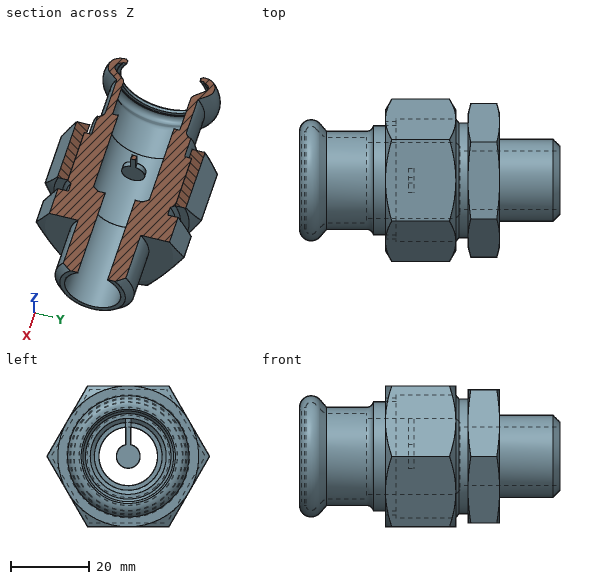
import cadquery as cq
import math


nut_start = 21.95
nut_end = 39.9
hex_start = 43.0
hex_end = 51.1
total_length = 66.5

wall = 1.65
tube_radius = 12.6
tube_bore_radius = tube_radius - wall
bead_radius = 3.0
bead_centre_radius = 12.5
lip_radius = 11.6
lip_chamfer = 0.45
lip_end = 1.3
bead_foot = 6.9
socket_blend_radius = 2.1
flare_start = 17.15
shoulder_start = 18.9
shoulder_radius = 13.95

nut_flats = 36.0
nut_chamfer_angle = 30
nut_rim_length = 2.65
nut_rim_radius = 14.95
flange_start = nut_start + nut_rim_length
flange_radius = 15.7

hex_flats = 34.05
hex_chamfer_angle = 15

neck_radius = 14.7
neck_cone_length = 0.8
spigot_radius = 10.5
spigot_chamfer = 1.8
spigot_bore_radius = 7.45

stop_radius = 9.7
throat_radius = 8.65
throat_length = stop_radius - throat_radius

disc_radius = 3.05
arm_width = 1.4
disc_thickness = arm_width
wall_overlap = 0.3

diagonal = math.sqrt(0.5)
mid_arc_angle = math.pi / 8


def revolve_about_x(profile):
    """Turn a closed (x, radius) profile about the X axis."""
    return profile.close().revolve(360, (0, 0, 0), (1, 0, 0))


def cylinder_along_x(start, end, radius):
    return cq.Workplane("YZ", origin=(start, 0, 0)).circle(radius).extrude(end - start)


def chamfered_hexagon(start, end, flats, chamfer_angle):
    """Hexagon with horizontal flats; cones starting at the inscribed circle trim its corners."""
    corner_radius = flats / math.sqrt(3)
    flat_radius = flats / 2
    chamfer_depth = (corner_radius - flat_radius) * math.tan(math.radians(chamfer_angle))
    prism = (
        cq.Workplane("YZ", origin=(start, 0, 0))
        .polygon(6, 2 * corner_radius)
        .extrude(end - start)
    )
    trim = revolve_about_x(
        cq.Workplane("XY")
        .moveTo(start, 0)
        .lineTo(start, flat_radius)
        .lineTo(start + chamfer_depth, corner_radius)
        .lineTo(end - chamfer_depth, corner_radius)
        .lineTo(end, flat_radius)
        .lineTo(end, 0)
    )
    return prism.intersect(trim)


def make_press_end():
    """Outside of the press end, solid, up to the flange inside the nut."""
    bead_exit = (bead_radius * (1 + diagonal), bead_centre_radius + bead_radius * diagonal)
    return revolve_about_x(
        cq.Workplane("XY")
        .moveTo(0, 0)
        .lineTo(0, bead_centre_radius)
        .threePointArc(
            (
                bead_radius * (1 - math.sin(mid_arc_angle)),
                bead_centre_radius + bead_radius * math.cos(mid_arc_angle),
            ),
            bead_exit,
        )
        .lineTo(bead_foot, tube_radius)
        .lineTo(flare_start, tube_radius)
        .tangentArcPoint((shoulder_start, shoulder_radius), relative=False)
        .lineTo(flange_start, shoulder_radius)
        .lineTo(flange_start, 0)
    )


def make_press_cavity():
    """Lip opening, seal groove at constant wall thickness, and pipe socket."""
    groove_radius = bead_radius - wall
    groove_exit = (
        bead_radius + groove_radius * diagonal,
        bead_centre_radius + groove_radius * diagonal,
    )
    corner_x = sum(groove_exit) - tube_bore_radius
    blend_tangent = socket_blend_radius * math.tan(mid_arc_angle)
    blend_start = (
        corner_x - blend_tangent * diagonal,
        tube_bore_radius + blend_tangent * diagonal,
    )
    blend_end_x = corner_x + blend_tangent
    return revolve_about_x(
        cq.Workplane("XY")
        .moveTo(0, 0)
        .lineTo(0, lip_radius + lip_chamfer)
        .lineTo(lip_chamfer, lip_radius)
        .lineTo(lip_end, lip_radius)
        .lineTo(lip_end, bead_centre_radius)
        .lineTo(wall, bead_centre_radius)
        .threePointArc(
            (
                bead_radius - groove_radius * math.sin(mid_arc_angle),
                bead_centre_radius + groove_radius * math.cos(mid_arc_angle),
            ),
            groove_exit,
        )
        .lineTo(*blend_start)
        .tangentArcPoint((blend_end_x, tube_bore_radius), relative=False)
        .lineTo(flare_start, tube_bore_radius)
        .lineTo(flare_start, 0)
    )


def make_indicator():
    """Central disc with one upright arm that reaches the bore wall behind the pipe stop."""
    disc_start = (flare_start + nut_end - disc_thickness) / 2
    disc = cylinder_along_x(disc_start, disc_start + disc_thickness, disc_radius)
    arm = cq.Workplane("XY").box(
        disc_thickness, arm_width, stop_radius + wall_overlap, centered=(False, True, False)
    )
    return disc.union(arm.translate((disc_start, 0, 0)))


def make_male_end():
    """Outside of the flange, neck, hexagon and spigot, solid."""
    turned = revolve_about_x(
        cq.Workplane("XY")
        .moveTo(flange_start, 0)
        .lineTo(flange_start, flange_radius)
        .lineTo(nut_end, flange_radius)
        .lineTo(nut_end + neck_cone_length, neck_radius)
        .lineTo(hex_start, neck_radius)
        .lineTo(hex_start, spigot_radius)
        .lineTo(total_length - spigot_chamfer, spigot_radius)
        .lineTo(total_length, spigot_radius - spigot_chamfer)
        .lineTo(total_length, 0)
    )
    return turned.union(chamfered_hexagon(hex_start, hex_end, hex_flats, hex_chamfer_angle))


def make_stepped_bore():
    """Bore behind the pipe stop, narrowing through a conical throat to the spigot bore."""
    throat = revolve_about_x(
        cq.Workplane("XY")
        .moveTo(flare_start, 0)
        .lineTo(flare_start, stop_radius)
        .lineTo(nut_end, stop_radius)
        .lineTo(nut_end + throat_length, throat_radius)
        .lineTo(nut_end + throat_length, 0)
    )
    return throat.union(cylinder_along_x(nut_end, total_length, spigot_bore_radius))


def make_tube():
    outside = make_press_end().union(make_male_end())
    shell = outside.cut(make_press_cavity()).cut(make_stepped_bore())
    return shell.union(make_indicator())


def make_union_nut():
    hexagon = chamfered_hexagon(nut_start, nut_end, nut_flats, nut_chamfer_angle)
    rim_hole = cylinder_along_x(nut_start, flange_start, nut_rim_radius)
    flange_bore = cylinder_along_x(flange_start, nut_end, flange_radius)
    return hexagon.cut(rim_hole).cut(flange_bore)


tube = make_tube()
union_nut = make_union_nut()
result = cq.Compound.makeCompound([tube.val(), union_nut.val()])